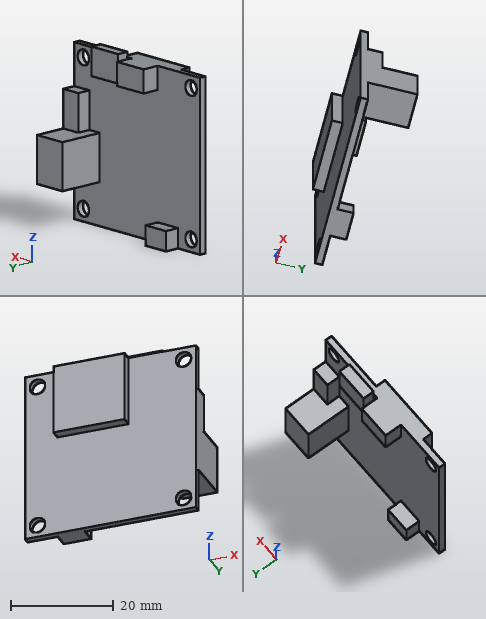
import cadquery as cq

board_side = 36.0
board_thickness = 1.5
hole_diameter = 3.2
hole_inset = 2.6

chip_left = 6.85
chip_width = 14.95
chip_height = 14.7
chip_depth = 2.2

socket_left = 12.1
socket_width = 7.55
socket_height = 4.9
socket_depth = 3.82

connector_left = 20.75
connector_width = 7.68
connector_overhang = 1.1
connector_depth = 2.52

tall_width = 7.3
tall_bottom = 9.0
tall_height = 9.98
tall_depth = 10.0
header_width = 4.35
header_height = 8.05
header_depth = 2.95

plug_left = 6.3
plug_height = 4.15
plug_depth = 3.23


def block(left, bottom, width, height, front, depth):
    """Box given by its lower left front corner and its size."""
    return cq.Workplane("XY").box(width, depth, height, centered=False).translate((left, front, bottom))


def back_block(left, bottom, width, height, depth):
    """Box standing on the back face of the board."""
    return block(left, bottom, width, height, board_thickness, depth)


hole_spacing = board_side - 2 * hole_inset
board = (
    block(0, 0, board_side, board_side, 0, board_thickness)
    .faces("<Y")
    .workplane(origin=(board_side / 2, 0, board_side / 2))
    .rect(hole_spacing, hole_spacing, forConstruction=True)
    .vertices()
    .hole(hole_diameter)
)

chip = block(chip_left, board_side - chip_height, chip_width, chip_height, -chip_depth, chip_depth)

socket_bottom = board_side - socket_height
socket = back_block(socket_left, socket_bottom, socket_width, socket_height, socket_depth)

connector_height = socket_height + connector_overhang
connector = back_block(
    connector_left, socket_bottom, connector_width, connector_height, connector_depth
)

tall_block = back_block(board_side - tall_width, tall_bottom, tall_width, tall_height, tall_depth)

header_bottom = tall_bottom + tall_height
header = back_block(
    board_side - header_width, header_bottom, header_width, header_height, header_depth
)

plug = back_block(plug_left, 0, socket_left - plug_left, plug_height, plug_depth)

result = board
for component in (chip, socket, connector, tall_block, header, plug):
    result = result.union(component)